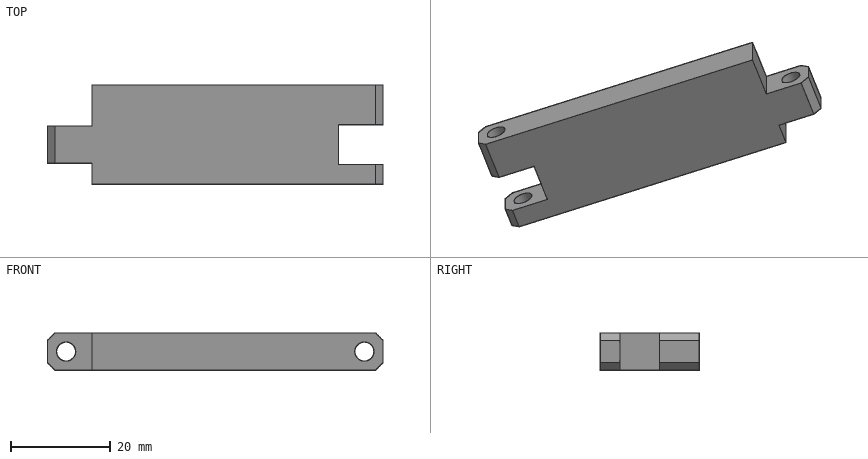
import cadquery as cq

length = 67.6
width = 20.0
height = 7.6

tongue_length = 9.0
tongue_width = 7.6
slot_depth = 9.0
slot_width = 8.0
near_arm_width = 4.0
tongue_clearance = (slot_width - tongue_width) / 2
end_chamfer = 1.55

hole_diameter = 3.8
hole_inset = 3.8


def box_between(x_start, x_end, y_start, y_end):
    """Full-height box spanning the given X and Y ranges."""
    return cq.Workplane("XY").box(
        x_end - x_start, y_end - y_start, height, centered=False
    ).translate((x_start, y_start, 0))


slot_end = near_arm_width + slot_width
body = box_between(tongue_length, length, 0, width)
body = body.cut(box_between(length - slot_depth, length, near_arm_width, slot_end))

tongue_start = near_arm_width + tongue_clearance
tongue = box_between(0, tongue_length, tongue_start, tongue_start + tongue_width)
body = body.union(tongue)

body = body.faces("<X").edges("|Y").chamfer(end_chamfer)
body = body.faces(">X").edges("|Y").chamfer(end_chamfer)

for hole_x in (hole_inset, length - hole_inset):
    pivot = (
        cq.Workplane("XZ")
        .center(hole_x, height / 2)
        .circle(hole_diameter / 2)
        .extrude(-width)
    )
    body = body.cut(pivot)

result = body